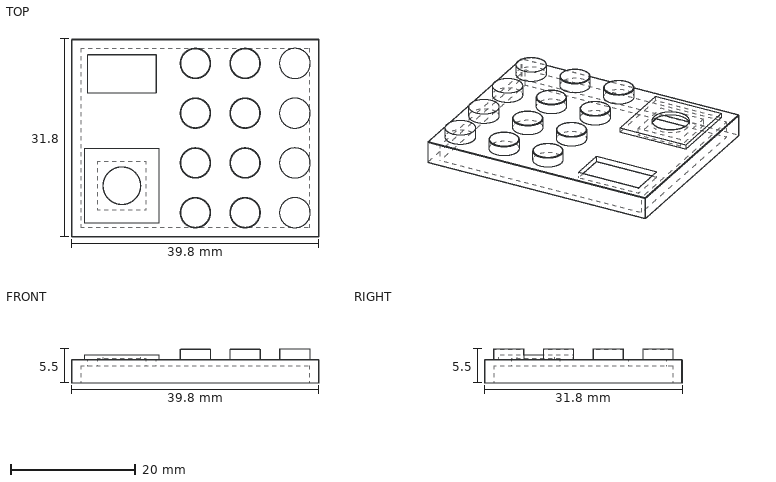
import cadquery as cq

length = 39.8
width = 31.8
plate_height = 3.8
roof_thickness = 1.0
wall_thickness = 1.5
edge_chamfer = 0.1

stud_diameter = 4.9
stud_height = 1.7
stud_pitch = 8.0
stud_columns = 3
plain_columns = 1
stud_rows = 4
stud_edge_margin = (width - (stud_rows - 1) * stud_pitch) / 2

pad_size = 12.0
pad_height = 0.75
pad_hole_diameter = 6.0
pad_rim_thickness = 0.55
pad_recess_size = 7.75
pad_center_x = 8.08
pad_center_y = 8.25

window_length = 11.0
window_width = 6.1
window_center_x = pad_center_x
window_center_y = 26.23


def make_plate():
    """Box with its corner at the origin, hollowed from below."""
    box = cq.Workplane("XY").box(length, width, plate_height, centered=False)
    box = box.edges("|Z or >Z").chamfer(edge_chamfer)
    cavity = (
        cq.Workplane("XY")
        .box(
            length - 2 * wall_thickness,
            width - 2 * wall_thickness,
            plate_height - roof_thickness,
            centered=False,
        )
        .translate((wall_thickness, wall_thickness, 0))
    )
    return box.cut(cavity)


def make_stud_column(column):
    """One row of studs along Y, counted inward from the +X edge."""
    x = length - stud_edge_margin - column * stud_pitch
    centers = [(x, stud_edge_margin + row * stud_pitch) for row in range(stud_rows)]
    studs = (
        cq.Workplane("XY", origin=(0, 0, plate_height))
        .pushPoints(centers)
        .circle(stud_diameter / 2)
        .extrude(stud_height)
    )
    if column < plain_columns:
        return studs
    return studs.faces(">Z").edges().chamfer(edge_chamfer)


def make_pad():
    """Square pad standing on the roof."""
    return (
        cq.Workplane("XY", origin=(pad_center_x, pad_center_y, plate_height))
        .rect(pad_size, pad_size)
        .extrude(pad_height)
    )


def make_pad_hole():
    """Cutter for the round hole through the rim of the pad."""
    return (
        cq.Workplane("XY", origin=(pad_center_x, pad_center_y, 0))
        .circle(pad_hole_diameter / 2)
        .extrude(plate_height + pad_height)
    )


def make_pad_recess():
    """Cutter for the square recess from the underside up to the rim of the pad hole."""
    return (
        cq.Workplane("XY", origin=(pad_center_x, pad_center_y, 0))
        .rect(pad_recess_size, pad_recess_size)
        .extrude(plate_height + pad_height - pad_rim_thickness)
    )


def make_window():
    """Cutter for the rectangular window through the roof."""
    return (
        cq.Workplane("XY", origin=(window_center_x, window_center_y, 0))
        .rect(window_length, window_width)
        .extrude(plate_height)
    )


result = make_plate().union(make_pad())
for column_index in range(stud_columns):
    result = result.union(make_stud_column(column_index))
result = result.cut(make_pad_hole()).cut(make_pad_recess()).cut(make_window())